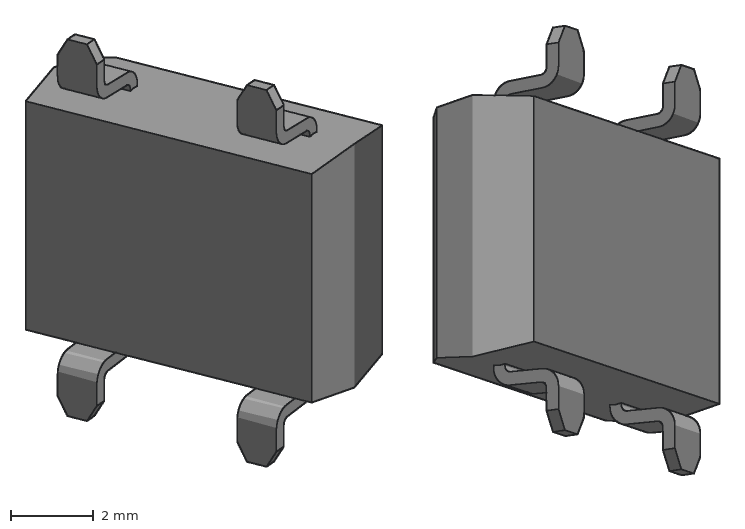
import cadquery as cq
import math

BODY_WIDTH = 8.51
BODY_HEIGHT = 6.5
HALF_DEPTH = 1.65
DRAFT_ANGLE = 7.0

BEVEL_WIDTH = 0.76
BEVEL_DEPTH = 0.51

TOTAL_HEIGHT = 10.05
LEAD_PITCH = 5.09
LEAD_WIDTH = 1.12
STRIP_THICKNESS = 0.33
FOOT_THICKNESS = 0.35
FOOT_FRONT = -1.73
STUB_REAR = 0.16
STUB_EMBED = 0.4
SHELF_HEIGHT = 3.76
SHELF_ANGLE = 2.5
OUTER_BEND_RADIUS = 0.49
INNER_BEND_RADIUS = 0.17
TIP_CUT_WIDTH = 0.28
TIP_CUT_LENGTH = 0.47


def make_body():
    """Two tapered halves meeting at the parting plane, with one rear edge bevelled."""
    parting = cq.Workplane("XZ").rect(BODY_WIDTH, BODY_HEIGHT)
    front_half = parting.extrude(HALF_DEPTH, taper=DRAFT_ANGLE)
    rear_half = front_half.mirror("XZ")

    left = -BODY_WIDTH / 2
    bevel_y = HALF_DEPTH - BEVEL_DEPTH
    side_x = left + bevel_y * math.tan(math.radians(DRAFT_ANGLE))
    rear_x = left + BEVEL_WIDTH
    slope = BEVEL_DEPTH / (rear_x - side_x)
    overrun = BEVEL_WIDTH
    cutter = (
        cq.Workplane("XY")
        .moveTo(side_x - overrun, bevel_y - overrun * slope)
        .lineTo(rear_x + overrun, HALF_DEPTH + overrun * slope)
        .lineTo(side_x - overrun, HALF_DEPTH + overrun * slope)
        .close()
        .extrude(BODY_HEIGHT / 2, both=True)
    )
    return front_half.union(rear_half).cut(cutter)


def make_lead(center_x):
    """Upper lead: a stub, a shelf sloping forwards and a foot with a narrowed tip."""
    rise = math.tan(math.radians(SHELF_ANGLE))

    def shelf_outer(y):
        return SHELF_HEIGHT + (STUB_REAR - y) * rise

    def shelf_inner(y):
        return shelf_outer(y) - STRIP_THICKNESS

    stub_front = STUB_REAR - STRIP_THICKNESS
    foot_rear = FOOT_FRONT + FOOT_THICKNESS
    tip = TOTAL_HEIGHT / 2
    root = BODY_HEIGHT / 2 - STUB_EMBED
    rear_outer = (STUB_REAR, shelf_outer(STUB_REAR))
    rear_inner = (stub_front, shelf_inner(stub_front))
    foot_inner = (foot_rear, shelf_outer(foot_rear))
    foot_outer = (FOOT_FRONT, shelf_inner(FOOT_FRONT))
    profile = [
        (STUB_REAR, root),
        rear_outer,
        foot_inner,
        (foot_rear, tip),
        (FOOT_FRONT, tip),
        foot_outer,
        rear_inner,
        (stub_front, root),
    ]
    lead = cq.Workplane("YZ").polyline(profile).close().extrude(LEAD_WIDTH / 2, both=True)

    bends = [
        (rear_outer, OUTER_BEND_RADIUS),
        (rear_inner, INNER_BEND_RADIUS),
        (foot_outer, OUTER_BEND_RADIUS),
        (foot_inner, INNER_BEND_RADIUS),
    ]
    for (y, z), radius in bends:
        lead = lead.edges(cq.NearestToPointSelector((0, y, z))).fillet(radius)

    half_width = LEAD_WIDTH / 2
    for side in (-1, 1):
        corner = (
            cq.Workplane("XZ", origin=(0, foot_rear, 0))
            .moveTo(side * half_width, tip)
            .lineTo(side * (half_width - TIP_CUT_WIDTH), tip)
            .lineTo(side * half_width, tip - TIP_CUT_LENGTH)
            .close()
            .extrude(FOOT_THICKNESS)
        )
        lead = lead.cut(corner)
    return lead.translate((center_x, 0, 0))


result = make_body()
for lead_x in (-LEAD_PITCH / 2, LEAD_PITCH / 2):
    upper_lead = make_lead(lead_x)
    result = result.union(upper_lead).union(upper_lead.mirror("XY"))